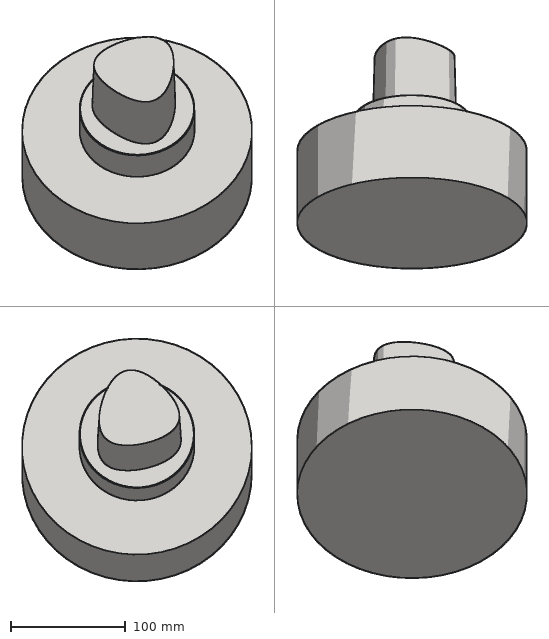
import cadquery as cq
import math

base_diameter = 200.0
base_height = 68.0
hub_diameter = 100.0
hub_height = 32.0
hub_chamfer = 0.5

shank_height = 60.0
collar_height = 2.8
foot_diameter = 72.0
taper_ratio = 1 / 20
lobe_offset = 3.2
lobe_points = 48

taper_height = shank_height - collar_height
tip_diameter = foot_diameter - taper_height * taper_ratio
hub_top = base_height + hub_height


def lobed_wire(mean_diameter, z):
    """Closed hypotrochoid with three lobes, one pointing along +Y."""
    radius = mean_diameter / 2
    points = []
    for i in range(lobe_points):
        angle = 2 * math.pi * i / lobe_points
        x = radius * math.sin(angle) - lobe_offset * math.sin(2 * angle)
        y = radius * math.cos(angle) + lobe_offset * math.cos(2 * angle)
        points.append(cq.Vector(x, y, z))
    return cq.Wire.assembleEdges([cq.Edge.makeSpline(points, periodic=True)])


def lobed_section(lower_diameter, upper_diameter, z, height):
    """Solid between two lobed outlines, straight along its height."""
    lower = lobed_wire(lower_diameter, z)
    upper = lobed_wire(upper_diameter, z + height)
    return cq.Workplane(obj=cq.Solid.makeLoft([lower, upper], True))


base = cq.Workplane("XY").circle(base_diameter / 2).extrude(base_height)
hub = (
    cq.Workplane("XY", origin=(0, 0, base_height))
    .circle(hub_diameter / 2)
    .extrude(hub_height)
    .faces(">Z")
    .chamfer(hub_chamfer)
)
collar = lobed_section(foot_diameter, foot_diameter, hub_top, collar_height)
taper = lobed_section(foot_diameter, tip_diameter, hub_top + collar_height, taper_height)

result = base.union(hub).union(collar).union(taper)